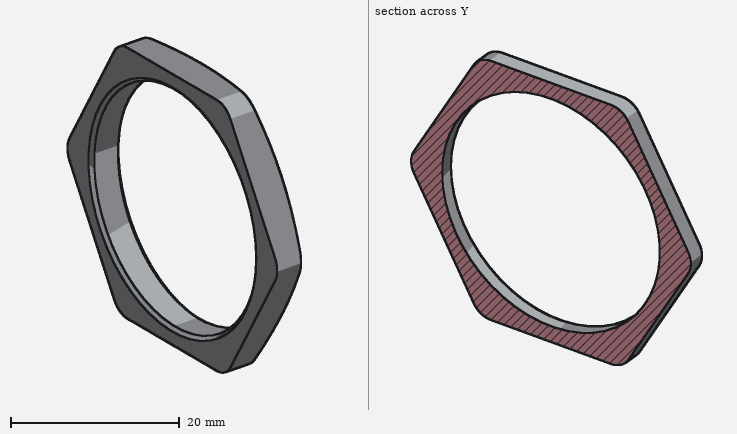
import cadquery as cq
import math

across_flats = 36.0
thickness = 4.5
corner_radius = 3.0
bore_diameter = 31.5
bore_chamfer = 0.5
crown_face_diameter = 35.55
crown_angle = 20.0

sharp_corner_diameter = across_flats / math.cos(math.radians(30))


def hexagonal_blank():
    """Hexagonal prism with rounded corners, pointing along X."""
    return (
        cq.Workplane("XZ")
        .polygon(6, sharp_corner_diameter)
        .extrude(-thickness)
        .edges("|Y")
        .fillet(corner_radius)
    )


def crown_envelope():
    """Solid of revolution whose cone bevels the hexagon corners at +Y."""
    face_radius = crown_face_diameter / 2
    outer_radius = sharp_corner_diameter / 2
    crown_drop = (outer_radius - face_radius) * math.tan(math.radians(crown_angle))
    return (
        cq.Workplane("XY")
        .polyline([
            (0, 0),
            (outer_radius, 0),
            (outer_radius, thickness - crown_drop),
            (face_radius, thickness),
            (0, thickness),
        ])
        .close()
        .revolve(360, (0, 0), (0, 1))
    )


def chamfered_bore():
    """Cutter for the through bore, with a 45 degree chamfer at both ends."""
    bore_radius = bore_diameter / 2
    mouth_radius = bore_radius + bore_chamfer
    return (
        cq.Workplane("XY")
        .polyline([
            (0, 0),
            (mouth_radius, 0),
            (bore_radius, bore_chamfer),
            (bore_radius, thickness - bore_chamfer),
            (mouth_radius, thickness),
            (0, thickness),
        ])
        .close()
        .revolve(360, (0, 0), (0, 1))
    )


result = hexagonal_blank().intersect(crown_envelope()).cut(chamfered_bore())